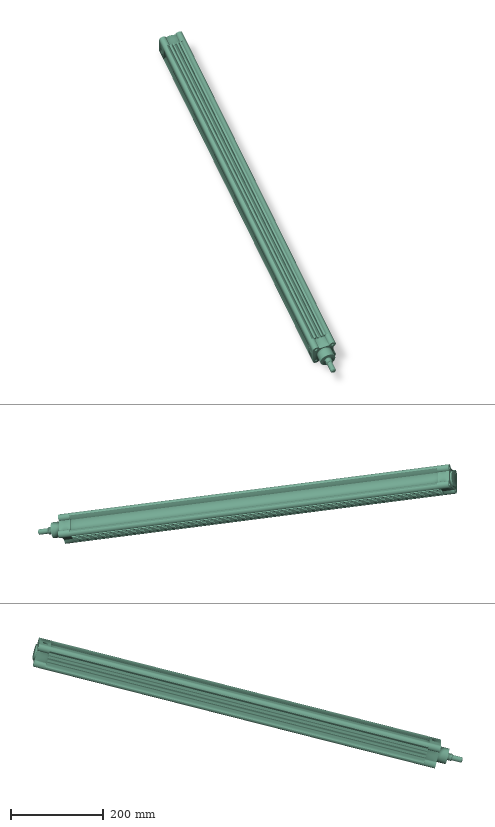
import cadquery as cq
import math


total_length = 963.0
collar_depth = 4.0
cap_length = 26.0
nose_length = 21.0
front_cap_end = 908.0

rear_cap_start = collar_depth
tube_start = rear_cap_start + cap_length
tube_end = front_cap_end - cap_length
nose_end = front_cap_end + nose_length

width = 54.0
half_width = width / 2
post_radius = 8.0
post_offset = half_width - post_radius
recess_depth = 6.0
cap_core = half_width - recess_depth

tube_core = 19.0
barrel_radius = 24.0
rib_ranges = ((3.0, 6.0), (10.0, 13.5))

collar_diameter = 35.0
screw_hole_diameter = 6.0
screw_hole_depth = 16.0
port_diameter = 13.0
port_depth = 10.0
port_inset = 14.0
port_height = 4.3
needle_hole_diameter = 4.0
needle_hole_x = 886.0
needle_hole_z = 6.0

rod_radius = 8.0
rod_diameter = 2 * rod_radius
rod_chamfer = 1.4
thread_radius = 6.0
thread_length = 23.0
thread_chamfer = 2.0
wrench_size = 13.5
flats_start = 932.0
flats_length = 5.0
shoulder_x = total_length - thread_length


def section_at(x):
    """Workplane across the axis whose local axes are Y and Z."""
    return cq.Workplane("YZ", origin=(x, 0, 0))


def block(start, length, y_range, z_range):
    """Straight bar along X, spanning the given (low, high) ranges in Y and Z."""
    y_low, y_high = y_range
    z_low, z_high = z_range
    return (
        cq.Workplane("XY")
        .box(length, y_high - y_low, z_high - z_low, centered=False)
        .translate((start, y_low, z_low))
    )


def cylinder(start, end, diameter):
    return section_at(start).circle(diameter / 2).extrude(end - start)


def post_centres(plane):
    return plane.rect(2 * post_offset, 2 * post_offset, forConstruction=True).vertices()


def front_hole(x, z, diameter):
    """Blind hole drilled in the +Y direction from the flat front side of a cap."""
    plane = cq.Workplane("XZ", origin=(x, -half_width, z))
    return plane.circle(diameter / 2).extrude(-port_depth)


def cap_block(start):
    """Cap with four round posts, recessed on three sides and flat on the -Y side."""
    core = block(start, cap_length, (-cap_core, cap_core), (-cap_core, cap_core))
    front_plate = block(start, cap_length, (-half_width, 0), (-post_offset, post_offset))
    posts = post_centres(section_at(start)).circle(post_radius).extrude(cap_length)
    return core.union(front_plate).union(posts)


def screw_holes(start):
    holes = post_centres(section_at(start))
    return holes.circle(screw_hole_diameter / 2).extrude(screw_hole_depth)


def make_rear_cap():
    cap = cap_block(rear_cap_start)
    cap = cap.union(cylinder(0, rear_cap_start, collar_diameter))
    cap = cap.cut(screw_holes(rear_cap_start))
    return cap.cut(front_hole(rear_cap_start + port_inset, -port_height, port_diameter))


def make_front_cap():
    cap = cap_block(tube_end)
    cap = cap.union(cylinder(front_cap_end, nose_end, collar_diameter))
    cap = cap.cut(screw_holes(front_cap_end - screw_hole_depth))
    cap = cap.cut(front_hole(front_cap_end - port_inset, port_height, port_diameter))
    cap = cap.cut(front_hole(needle_hole_x, needle_hole_z, needle_hole_diameter))
    return cap.cut(cylinder(tube_end, nose_end, rod_diameter))


def tube_post(length):
    """Corner post in the +Y +Z quadrant: round outside, with 45 degree slopes on its inner sides."""
    arc_middle = post_offset + post_radius * math.sqrt(0.5)
    slope_foot = post_offset - (half_width - tube_core)
    return (
        section_at(tube_start)
        .moveTo(half_width, post_offset)
        .threePointArc((arc_middle, arc_middle), (post_offset, half_width))
        .lineTo(slope_foot, tube_core)
        .lineTo(slope_foot, slope_foot)
        .lineTo(tube_core, slope_foot)
        .close()
        .extrude(length)
    )


def make_tube():
    length = tube_end - tube_start
    core_range = (-tube_core, tube_core)
    tube = block(tube_start, length, core_range, core_range)

    post = tube_post(length)
    for quarter in range(4):
        tube = tube.union(post.rotate((0, 0, 0), (1, 0, 0), 90 * quarter))

    barrel_side = block(tube_start, length, (-half_width, 0), (-post_offset, post_offset))
    tube = tube.union(cylinder(tube_start, tube_end, 2 * barrel_radius).intersect(barrel_side))

    for inner, outer in rib_ranges:
        for rib_range in ((inner, outer), (-outer, -inner)):
            tube = tube.union(block(tube_start, length, rib_range, (-half_width, half_width)))
    return tube


def make_rod():
    rod = cylinder(tube_end, shoulder_x, rod_diameter).faces(">X").chamfer(rod_chamfer)
    thread = cylinder(shoulder_x, total_length, 2 * thread_radius).faces(">X").chamfer(thread_chamfer)
    outside_rod = (-rod_diameter, rod_diameter)
    flat_zone = block(flats_start, flats_length, outside_rod, outside_rod)
    between_flats = block(flats_start, flats_length, (-wrench_size / 2, wrench_size / 2), outside_rod)
    return rod.cut(flat_zone.cut(between_flats)).union(thread)


rear_cap = make_rear_cap()
tube = make_tube()
front_cap = make_front_cap()
piston_rod = make_rod()

bodies = [rear_cap, tube, front_cap, piston_rod]
result = cq.Compound.makeCompound([body.solids().val() for body in bodies])